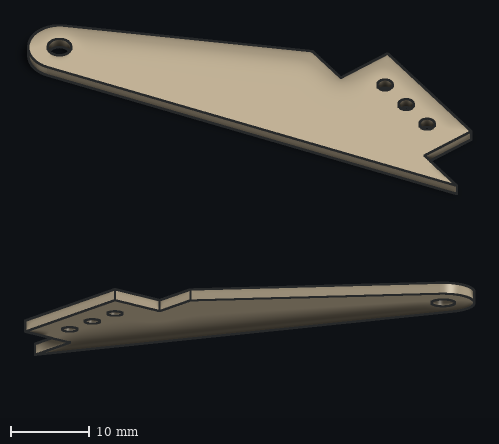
import cadquery as cq
import math

thickness = 1.5
pivot_radius = 4.0
pivot_hole_diameter = 3.0

overall_length = 55.0
overall_width = 37.0
tab_height = 7.5
shoulder_x = 19.95
tip_x = overall_length - pivot_radius
tab_top_y = overall_width - pivot_radius
arm_top_y = tab_top_y - tab_height

tab_width = 17.9
tab_left_x = 26.05
tab_right_x = tab_left_x + tab_width
tab_center = ((tab_left_x + tab_right_x) / 2, (arm_top_y + tab_top_y) / 2)
tab_hole_count = 3
tab_hole_pitch = 4.5
tab_hole_diameter = 2.0


def tangent_point(x, y, side):
    """Point where a line from (x, y) touches the pivot end; side is +1 or -1."""
    angle = math.atan2(y, x) + side * math.acos(pivot_radius / math.hypot(x, y))
    return pivot_radius * math.cos(angle), pivot_radius * math.sin(angle)


def make_plate():
    """Tapered arm with a rounded pivot end and a rectangular tab."""
    left_tangent = tangent_point(shoulder_x, arm_top_y, 1)
    right_tangent = tangent_point(tip_x, arm_top_y, -1)
    middle_angle = math.atan2(
        left_tangent[1] + right_tangent[1], left_tangent[0] + right_tangent[0]
    )
    arc_middle = (
        pivot_radius * math.cos(middle_angle),
        pivot_radius * math.sin(middle_angle),
    )
    return (
        cq.Workplane("XY")
        .moveTo(*left_tangent)
        .lineTo(shoulder_x, arm_top_y)
        .lineTo(tab_left_x, arm_top_y)
        .lineTo(tab_left_x, tab_top_y)
        .lineTo(tab_right_x, tab_top_y)
        .lineTo(tab_right_x, arm_top_y)
        .lineTo(tip_x, arm_top_y)
        .lineTo(*right_tangent)
        .threePointArc(arc_middle, left_tangent)
        .close()
        .extrude(thickness)
    )


def make_holes():
    """Cutters for the pivot hole and the row of tab holes."""
    pivot_hole = cq.Workplane("XY").circle(pivot_hole_diameter / 2).extrude(thickness)
    tab_holes = (
        cq.Workplane("XY")
        .center(*tab_center)
        .rarray(tab_hole_pitch, 0.55, tab_hole_count, 1)
        .circle(tab_hole_diameter / 2)
        .extrude(thickness)
    )
    return pivot_hole.union(tab_holes)


result = make_plate().cut(make_holes())